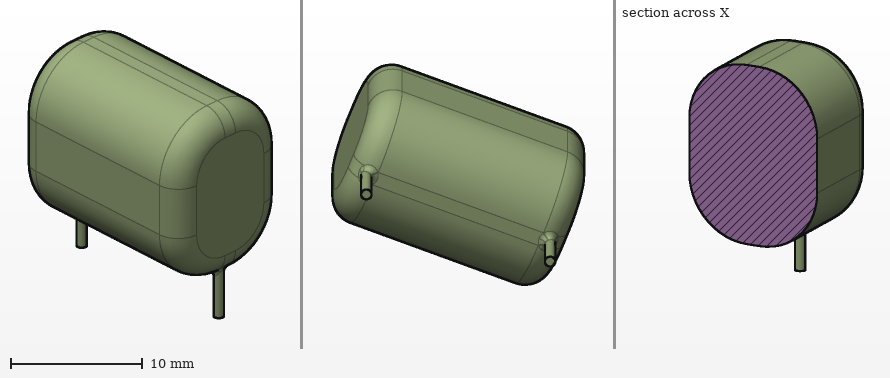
import cadquery as cq

body_length = 17.5
body_width = 11.1
body_height = 14.31
side_radius = 5.0
end_radius = 2.0

lead_diameter = 0.8
lead_pitch = 15.0
lead_length = 4.0
lead_fillet = 0.5


def make_body():
    """Body resting on Z = 0, with fully rounded long edges and end rims."""
    box = cq.Workplane("XY").box(
        body_length, body_width, body_height, centered=(True, True, False)
    )
    rounded = box.edges("|X").fillet(side_radius)
    return rounded.faces("<X or >X").edges().fillet(end_radius)


def make_leads():
    """Two round wires, started inside the body so that they merge with it."""
    embedded_length = end_radius
    return (
        cq.Workplane("XY", origin=(0, 0, -lead_length))
        .pushPoints([(-lead_pitch / 2, 0), (lead_pitch / 2, 0)])
        .circle(lead_diameter / 2)
        .extrude(lead_length + embedded_length)
    )


def fillet_lead_roots(part):
    """Round the curves where the leads meet the body, its only free-form edges."""
    return part.edges("%BSPLINE").fillet(lead_fillet)


result = fillet_lead_roots(make_body().union(make_leads()))